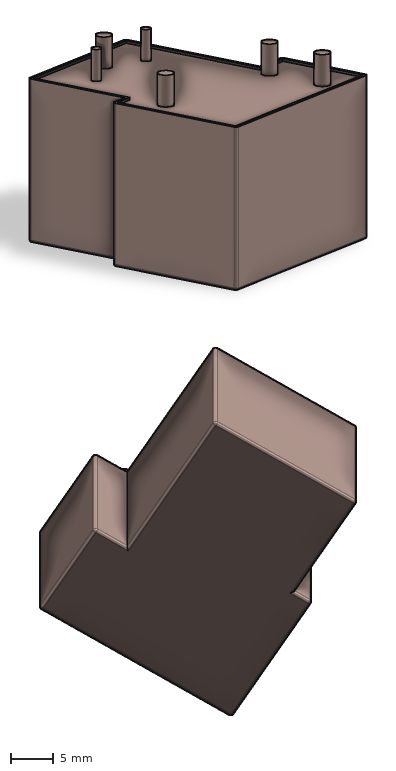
import cadquery as cq

length = 32.0
width = 27.0
body_height = 20.25
overall_height = 23.9
front_step_x = 14.0
front_step_y = 2.5
back_step_x = 19.52
back_step_y = 4.55
edge_radius = 0.4

rim_width = 0.45
recess_depth = 0.3
recess_floor = body_height - recess_depth

load_pin_diameter = 2.0
coil_pin_diameter = 1.2
coil_pin_x = 6.43
coil_pin_spacing = 10.18
pin_axis_y = 12.5
load_pins = [(3.95, pin_axis_y), (21.65, 21.45), (29.3, 21.45), (19.1, 3.75)]
coil_pins = [(coil_pin_x, pin_axis_y + side * coil_pin_spacing / 2) for side in (-1, 1)]


def stepped_outline(inset, base_z):
    """Housing outline moved inwards by the inset, on a plane at base_z."""
    left = inset
    right = length - inset
    points = [
        (left, front_step_y + inset),
        (front_step_x + inset, front_step_y + inset),
        (front_step_x + inset, inset),
        (right, inset),
        (right, width - inset),
        (back_step_x + inset, width - inset),
        (back_step_x + inset, width - back_step_y - inset),
        (left, width - back_step_y - inset),
    ]
    return cq.Workplane("XY").workplane(offset=base_z).polyline(points).close()


def make_housing():
    """Block with rounded bottom and outer vertical edges, sharp inner corners and a recessed top."""
    block = stepped_outline(0, 0).extrude(body_height)
    inner_corners = [
        (front_step_x, front_step_y, body_height / 2),
        (back_step_x, width - back_step_y, body_height / 2),
    ]
    rounded_edges = cq.StringSyntaxSelector("|Z or <Z")
    for corner in inner_corners:
        rounded_edges = rounded_edges - cq.NearestToPointSelector(corner)
    block = block.edges(rounded_edges).fillet(edge_radius)
    return block.cut(stepped_outline(rim_width, recess_floor).extrude(recess_depth))


def make_pins(centers, diameter):
    """Round pins from the recess floor to the overall height."""
    floor = cq.Workplane("XY").workplane(offset=recess_floor)
    return floor.pushPoints(centers).circle(diameter / 2).extrude(overall_height - recess_floor)


result = (
    make_housing()
    .union(make_pins(load_pins, load_pin_diameter))
    .union(make_pins(coil_pins, coil_pin_diameter))
)